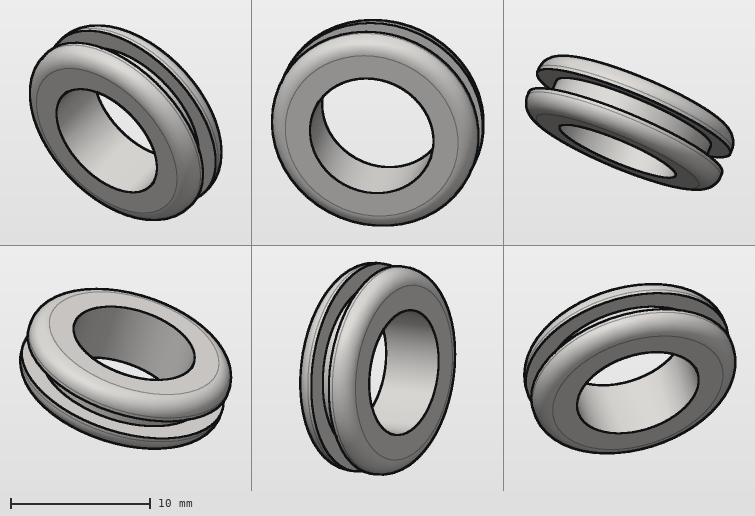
import cadquery as cq

outer_diameter = 15.0
groove_diameter = 12.0
bore_diameter = 9.0
flange_width = 1.5
groove_width = 1.5
edge_radius = 1.2

total_width = 2 * flange_width + groove_width


def disc(diameter, width, start_y):
    """Solid disc about the Y axis, running from start_y toward +Y."""
    plane = cq.Plane(origin=(0, start_y, 0), xDir=(1, 0, 0), normal=(0, 1, 0))
    return cq.Workplane(plane).circle(diameter / 2).extrude(width)


front_y = -total_width / 2
back_flange_y = groove_width / 2

front_flange = disc(outer_diameter, flange_width, front_y).faces("<Y").edges().fillet(edge_radius)
back_flange = disc(outer_diameter, flange_width, back_flange_y).faces(">Y").edges().fillet(edge_radius)
core = disc(groove_diameter, total_width, front_y)
bore = disc(bore_diameter, total_width, front_y)

result = core.union(front_flange).union(back_flange).cut(bore)